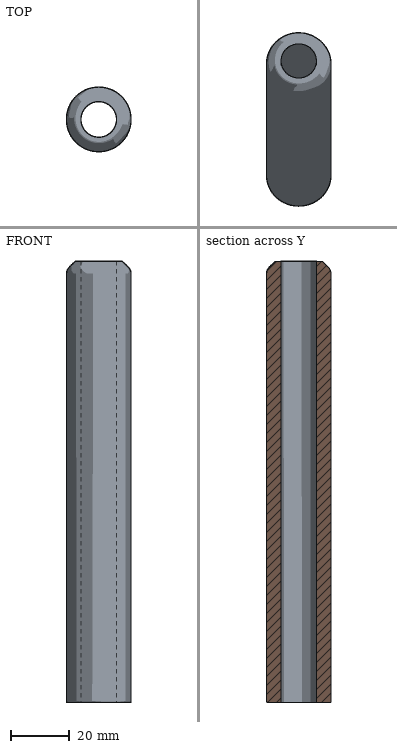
import cadquery as cq

length = 150.0
outer_diameter = 22.0
bore_diameter = 12.0

top_chamfer = 3.0
rim_fillet = 1.0
shoulder_fillet = 3.0

bottom_fillet = 0.5

outer_radius = outer_diameter / 2
shoulder_height = length - top_chamfer


def build_body():
    """Solid rod with a bevelled top and a rounded bottom edge."""
    body = cq.Workplane("XY").circle(outer_radius).extrude(length)
    body = body.faces("<Z").edges().fillet(bottom_fillet)
    body = body.faces(">Z").edges().chamfer(top_chamfer)
    body = body.faces(">Z").edges().fillet(rim_fillet)
    shoulder = cq.selectors.BoxSelector(
        (-outer_radius, -outer_radius, shoulder_height - rim_fillet),
        (outer_radius, outer_radius, shoulder_height + rim_fillet),
    )
    return body.edges(shoulder).fillet(shoulder_fillet)


def build_bore():
    """Straight hole through the full length."""
    return cq.Workplane("XY").circle(bore_diameter / 2).extrude(length)


result = build_body().cut(build_bore())